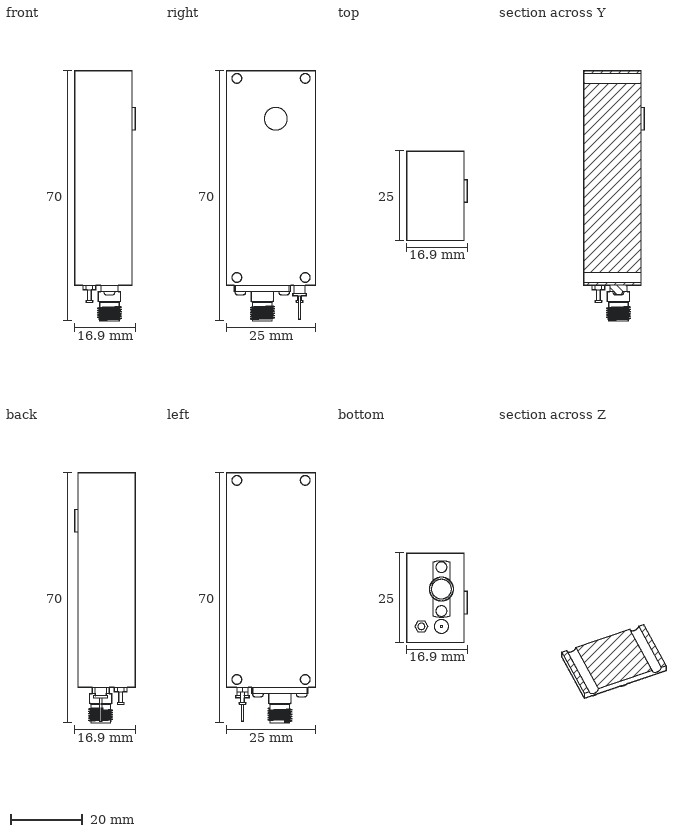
import cadquery as cq
import math


HOUSING_X = 16.0
HOUSING_Y = 25.0
HOUSING_Z = 59.95
MOUNT_HOLE_DIAMETER = 2.65
MOUNT_HOLE_SIDE_INSET = 2.95
MOUNT_HOLE_END_INSET = 2.2

CAP_DIAMETER = 6.4
CAP_HEIGHT = 0.9
CAP_Y = 1.3
CAP_BELOW_TOP = 13.4

TERMINAL_Y = 8.0
TERMINAL_BASE_WIDTH = 3.15

TURRET_X = -3.9
TURRET_HEX_HEIGHT = 1.25
TURRET_POST_DIAMETER = 1.1
TURRET_LENGTH = 4.8
TURRET_COLLAR_DIAMETER = 1.9
TURRET_COLLAR_HEIGHT = 0.6
TURRET_COLLAR_FILLET = 0.2

CONNECTOR_X = 1.7
CONNECTOR_Y = -2.45
CONNECTOR_LENGTH = 10.0
FLANGE_WIDTH = 4.8
FLANGE_DIAMETER = 15.8
FLANGE_THICKNESS = 1.75
BARREL_DIAMETER = 6.3
BARREL_END = 4.5
SHOULDER_DIAMETER = 6.0
SHOULDER_HEIGHT = 0.3
NECK_DIAMETER = 5.5
THREAD_DIAMETER = 6.7
THREAD_PITCH = 0.6
THREAD_TURNS = 5.7
THREAD_END = 9.5
THREAD_END_ANGLE = -150
THREAD_ROOT_WIDTH = 0.5
THREAD_CREST_WIDTH = 0.04
THREAD_ROOT_OVERLAP = 0.15

SCREW_SPACING = 12.25
SCREW_HEAD_DIAMETER = 3.0
SCREW_HEAD_HEIGHT = 1.0
SCREW_HEAD_RIM = 0.2
SCREW_HEAD_FLAT_DIAMETER = 1.55

FEEDTHROUGH_X = CONNECTOR_X
FEEDTHROUGH_BASE_LENGTH = 2.95
FEEDTHROUGH_RIM_DIAMETER = 3.9
FEEDTHROUGH_RIM_HEIGHT = 0.6
FEEDTHROUGH_PIN_DIAMETER = 0.6
FEEDTHROUGH_PIN_END = 9.5


def hanging_cylinder(x, y, diameter, start, end):
    """Vertical cylinder between two depths below Z = 0."""
    return cq.Workplane("XY", origin=(x, y, -end)).circle(diameter / 2).extrude(end - start)


def make_turret():
    corner_diameter = TERMINAL_BASE_WIDTH / math.cos(math.pi / 6)
    hex_base = (
        cq.Workplane("XY", origin=(TURRET_X, TERMINAL_Y, -TURRET_HEX_HEIGHT))
        .polygon(6, corner_diameter)
        .extrude(TURRET_HEX_HEIGHT)
    )
    post = hanging_cylinder(TURRET_X, TERMINAL_Y, TURRET_POST_DIAMETER, 0, TURRET_LENGTH)
    collar_start = TURRET_LENGTH - TURRET_COLLAR_HEIGHT
    collar = hanging_cylinder(TURRET_X, TERMINAL_Y, TURRET_COLLAR_DIAMETER, collar_start, TURRET_LENGTH)
    collar = collar.faces("<Z").edges().fillet(TURRET_COLLAR_FILLET)
    return hex_base.union(post).union(collar)


def make_housing():
    block = cq.Workplane("XY").box(HOUSING_X, HOUSING_Y, HOUSING_Z, centered=(True, True, False))
    hole_spacing_y = HOUSING_Y - 2 * MOUNT_HOLE_SIDE_INSET
    hole_spacing_z = HOUSING_Z - 2 * MOUNT_HOLE_END_INSET
    mount_holes = (
        cq.Workplane("YZ", origin=(-HOUSING_X / 2, 0, HOUSING_Z / 2))
        .rect(hole_spacing_y, hole_spacing_z, forConstruction=True)
        .vertices()
        .circle(MOUNT_HOLE_DIAMETER / 2)
        .extrude(HOUSING_X)
    )
    cap = (
        cq.Workplane("YZ", origin=(HOUSING_X / 2, CAP_Y, HOUSING_Z - CAP_BELOW_TOP))
        .circle(CAP_DIAMETER / 2)
        .extrude(CAP_HEIGHT)
    )
    return block.cut(mount_holes).union(cap).union(make_turret())


def make_screw_head(y):
    """Domed head with a short straight rim and a flat end, on the flange face."""
    rim_radius = SCREW_HEAD_DIAMETER / 2
    flat_radius = SCREW_HEAD_FLAT_DIAMETER / 2
    arc_middle = math.cos(math.pi / 4)
    dome_height = SCREW_HEAD_HEIGHT - SCREW_HEAD_RIM
    dome_middle = (
        flat_radius + (rim_radius - flat_radius) * arc_middle,
        -SCREW_HEAD_RIM - dome_height * arc_middle,
    )
    return (
        cq.Workplane("XZ")
        .lineTo(rim_radius, 0)
        .lineTo(rim_radius, -SCREW_HEAD_RIM)
        .threePointArc(dome_middle, (flat_radius, -SCREW_HEAD_HEIGHT))
        .lineTo(0, -SCREW_HEAD_HEIGHT)
        .close()
        .revolve(360, (0, 0, 0), (0, 1, 0))
        .translate((CONNECTOR_X, y, -FLANGE_THICKNESS))
    )


def make_thread():
    """Right-handed helical ridge, rooted slightly inside the neck."""
    root_radius = NECK_DIAMETER / 2 - THREAD_ROOT_OVERLAP
    height = THREAD_PITCH * THREAD_TURNS
    helix = cq.Wire.makeHelix(THREAD_PITCH, height, root_radius)
    ridge = (
        cq.Workplane("XZ")
        .moveTo(root_radius, -THREAD_ROOT_WIDTH / 2)
        .lineTo(THREAD_DIAMETER / 2, -THREAD_CREST_WIDTH / 2)
        .lineTo(THREAD_DIAMETER / 2, THREAD_CREST_WIDTH / 2)
        .lineTo(root_radius, THREAD_ROOT_WIDTH / 2)
        .close()
        .sweep(cq.Workplane(obj=helix), isFrenet=True)
    )
    ridge = ridge.rotate((0, 0, 0), (0, 0, 1), THREAD_END_ANGLE)
    return ridge.translate((CONNECTOR_X, CONNECTOR_Y, -THREAD_END))


def make_flange():
    """Narrow plate whose two ends are arcs of one circle."""
    plate = cq.Workplane("XY").rect(FLANGE_WIDTH, FLANGE_DIAMETER).extrude(-FLANGE_THICKNESS)
    disc = cq.Workplane("XY").circle(FLANGE_DIAMETER / 2).extrude(-FLANGE_THICKNESS)
    return plate.intersect(disc).translate((CONNECTOR_X, CONNECTOR_Y, 0))


def make_shoulder():
    """Short cone between the barrel and the neck."""
    return (
        cq.Workplane("XY", origin=(CONNECTOR_X, CONNECTOR_Y, -BARREL_END))
        .circle(SHOULDER_DIAMETER / 2)
        .workplane(offset=-SHOULDER_HEIGHT)
        .circle(NECK_DIAMETER / 2)
        .loft()
    )


def make_connector():
    flange = make_flange()
    barrel = hanging_cylinder(CONNECTOR_X, CONNECTOR_Y, BARREL_DIAMETER, FLANGE_THICKNESS, BARREL_END)
    neck = hanging_cylinder(CONNECTOR_X, CONNECTOR_Y, NECK_DIAMETER, BARREL_END, CONNECTOR_LENGTH)
    connector = flange.union(barrel).union(make_shoulder()).union(neck.union(make_thread()))
    for side in (-1, 1):
        connector = connector.union(make_screw_head(CONNECTOR_Y + side * SCREW_SPACING / 2))
    return connector


def make_feedthrough():
    base = hanging_cylinder(FEEDTHROUGH_X, TERMINAL_Y, TERMINAL_BASE_WIDTH, 0, FEEDTHROUGH_BASE_LENGTH)
    rim_start = FEEDTHROUGH_BASE_LENGTH - FEEDTHROUGH_RIM_HEIGHT
    rim = hanging_cylinder(
        FEEDTHROUGH_X, TERMINAL_Y, FEEDTHROUGH_RIM_DIAMETER, rim_start, FEEDTHROUGH_BASE_LENGTH
    )
    pin = hanging_cylinder(FEEDTHROUGH_X, TERMINAL_Y, FEEDTHROUGH_PIN_DIAMETER, 0, FEEDTHROUGH_PIN_END)
    return base.union(rim).union(pin)


housing = make_housing()
connector = make_connector()
feedthrough = make_feedthrough()

result = cq.Compound.makeCompound(
    [
        housing.solids().val(),
        connector.solids().val(),
        feedthrough.solids().val(),
    ]
)